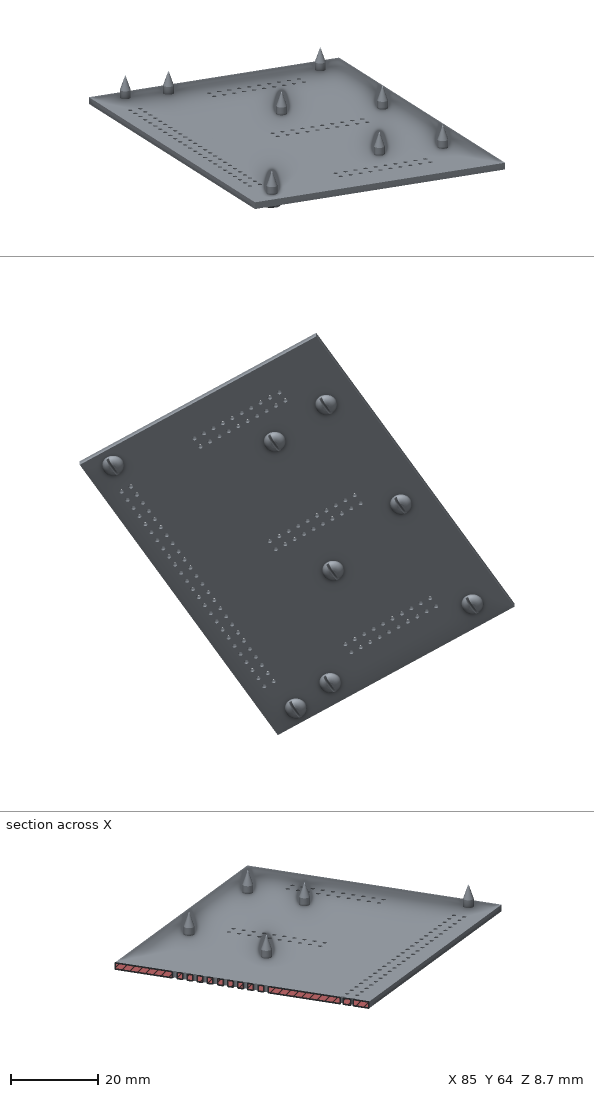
import cadquery as cq

board_length = 85
board_width = 64.0
board_thickness = 1.6

pin_hole_diameter = 1.0
pin_pitch = 2.55
side_grid_columns = 2
side_grid_rows = 10
side_grid_center_y = 5.4
side_grid_centers_x = [-31.5, 0.85, 33.15]
edge_grid_columns = 25
edge_grid_rows = 2
edge_grid_center = (0.8, -26.4)

shank_diameter = 2.5
shank_projection = 1.9
head_diameter = 5.0
head_height = 1.6
overall_height = 8.7
slot_width = 0.7
slot_depth = 1.0
screw_positions = [
    (-36.7, 24.3),
    (-5.5, 24.65),
    (26.0, 24.3),
    (24.0, 9.1),
    (-12.15, 2.1),
    (-37.1, -14.4),
    (-38.6, -24.65),
    (38.3, -25.6),
]

shank_radius = shank_diameter / 2
head_radius = head_diameter / 2
shank_top = board_thickness + shank_projection
head_flat_radius = head_radius - head_height
tip_height = overall_height - head_height


def cut_hole_grid(plate, center, columns, rows):
    """Drill a rectangular grid of pin holes through the plate."""
    return (
        plate.faces(">Z")
        .workplane(origin=(center[0], center[1], 0))
        .rarray(pin_pitch, pin_pitch, columns, rows)
        .hole(pin_hole_diameter)
    )


def make_board():
    """Flat board with pin hole grids and a close-fitting hole for each screw shank."""
    plate = cq.Workplane("XY").box(
        board_length, board_width, board_thickness, centered=(True, True, False)
    )
    for center_x in side_grid_centers_x:
        plate = cut_hole_grid(plate, (center_x, side_grid_center_y), side_grid_columns, side_grid_rows)
    plate = cut_hole_grid(plate, edge_grid_center, edge_grid_columns, edge_grid_rows)
    return (
        plate.faces(">Z")
        .workplane(origin=(0, 0, 0))
        .pushPoints(screw_positions)
        .hole(shank_diameter)
    )


def make_screw(position):
    """Pointed screw with a rounded head that has a straight slot along X."""
    body = (
        cq.Workplane("XZ")
        .moveTo(0, -head_height)
        .lineTo(head_flat_radius, -head_height)
        .radiusArc((head_radius, 0), -head_height)
        .lineTo(shank_radius, 0)
        .lineTo(shank_radius, shank_top)
        .lineTo(0, tip_height)
        .close()
        .revolve(360, (0, 0, 0), (0, 1, 0))
    )
    slot = (
        cq.Workplane("XY", origin=(0, 0, -head_height))
        .box(head_diameter, slot_width, slot_depth, centered=(True, True, False))
    )
    return body.cut(slot).translate((position[0], position[1], 0))


board = make_board()
screws = [make_screw(position) for position in screw_positions]

result = cq.Compound.makeCompound([board.val(), *[screw.val() for screw in screws]])